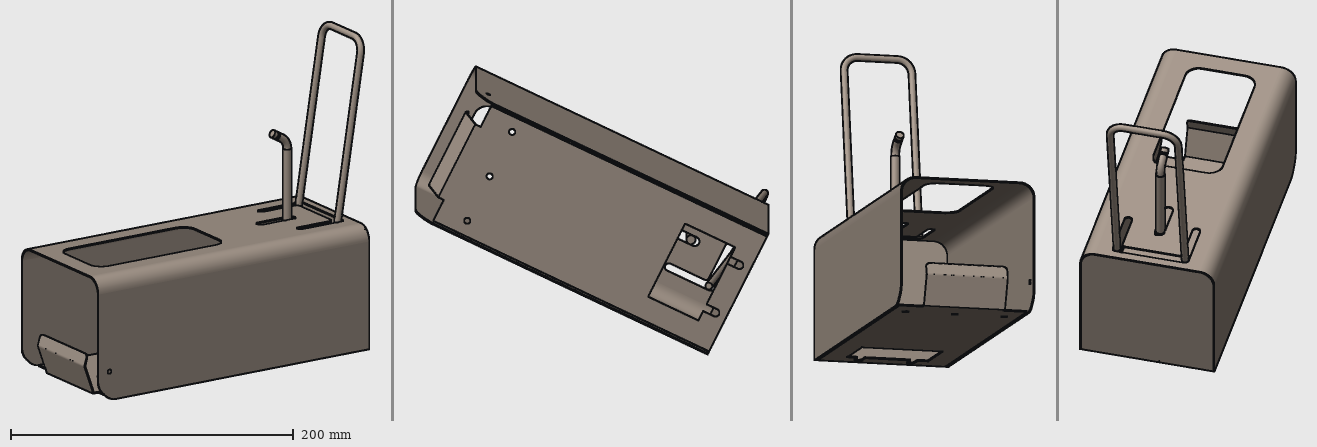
import cadquery as cq
import math

pick_margin = 0.2

width = 98.3
length = 230.0
height = 90.8
sheet = 1.0
bend_radius = 11.0

front = 0.0
back = front + length
inner_width = width - 2 * sheet
underside = height - sheet

front_chamfer = 10.0
front_chamfer_radius = 12.1

window_width = 50.5
window_length = 109.7
window_radius = 9.7
window_front = front + 15.0

leg_spacing = 49.8
leg_slot_width = 5.5
leg_slot_back = back - 6.5
leg_slot_length = 38.5
cross_slot_width = 6.8
cross_corner_radius = 2.5

lever_slot_width = 6.8
lever_slot_back = back - 30.8
lever_slot_length = 32.0

dimple_diameter = 3.2
dimple_depth = 0.5
dimple_y = front + 9.7
dimple_z = 21.0

lip_width = 59.5
lip_foot = front + 8.5
lip_bend_height = 21.5
lip_height = 30.0
lip_lean = 19.5
lip_return = 16.0
lip_bend_radius = 3.0
lip_corner_radius = 3.0

floor_front = front + 12.9
floor_side_gap = 1.5

opening_front = back - 56.3
opening_back = back - 16.7
relief_end = back - 5.5
relief_width = 5.5
tongue_width = 33.0

floor_hole_diameter = 4.4
floor_hole_spacing = 36.2
floor_hole_y = front + 34.5

rod_diameter = 5.0
handle_bend_radius = 10.5
handle_top = 224.0
handle_overhang = 12.6
handle_foot_y = back - 11.0

lever_y = back - 37.1
stem_diameter = 6.5
stem_top = 142.5
neck_diameter = 5.8
neck_bend_radius = 10.0
neck_bend_angle = 60.0
nozzle_length = 9.0
groove_start = 4.0
groove_length = 1.5
groove_depth = 0.5


def box(x_size, y_min, y_max, z_min, z_max):
    """Block centred on X = 0 between the given Y and Z limits."""
    size = (x_size, y_max - y_min, z_max - z_min)
    return cq.Workplane("XY").box(*size, centered=(True, False, False)).translate((0, y_min, z_min))


def slot_cutter(x, y_back, slot_length, slot_width):
    """Round-ended cutter along Y that goes through the top sheet."""
    return (
        cq.Workplane("XY", origin=(x, y_back - slot_length / 2, underside - sheet))
        .slot2D(slot_length, slot_width, 90)
        .extrude(3 * sheet)
    )


def top_bends(block, radius):
    """Rounds the two long top edges of a block."""
    return block.edges("|Y and >Z").fillet(radius)


def make_cover():
    """Sheet bent over the top and both sides, open below and at both ends."""
    outer = top_bends(box(width, front, back, 0, height), bend_radius)
    inner = top_bends(box(inner_width, front, back, 0, underside), bend_radius - sheet)
    cover = outer.cut(inner)

    side_profile = (
        box(width, front, back, 0, height)
        .edges("|X and <Y and <Z")
        .chamfer(front_chamfer)
    )
    chamfer_ends = cq.selectors.BoxSelector(
        (-width, front - pick_margin, -pick_margin),
        (width, front + front_chamfer + pick_margin, front_chamfer + pick_margin),
    )
    side_profile = side_profile.edges(chamfer_ends).edges("|X").fillet(front_chamfer_radius)
    cover = cover.intersect(side_profile)

    window = (
        box(window_width, window_front, window_front + window_length, underside - sheet, height + sheet)
        .edges("|Z")
        .fillet(window_radius)
    )
    lever_slot = slot_cutter(0, lever_slot_back, lever_slot_length, lever_slot_width)
    return cover.cut(window).cut(handle_slot()).cut(lever_slot).cut(dimple())


def dimple():
    """Cutter that sinks into the inner face of the +X side wall without going through it."""
    return (
        cq.Workplane("YZ", origin=(inner_width / 2, dimple_y, dimple_z))
        .circle(dimple_diameter / 2)
        .extrude(dimple_depth)
    )


def handle_slot():
    """U-shaped cutter with rounded inner corners where the slots meet."""
    cross_front = leg_slot_back - cross_slot_width
    cutter = box(leg_spacing, cross_front, leg_slot_back, underside - sheet, height + sheet)
    for side in (-1, 1):
        cutter = cutter.union(
            slot_cutter(side * leg_spacing / 2, leg_slot_back, leg_slot_length, leg_slot_width)
        )
    corner_x = (leg_spacing - leg_slot_width) / 2
    nearby = cq.selectors.BoxSelector(
        (-corner_x - pick_margin, cross_front - pick_margin, 0),
        (corner_x + pick_margin, cross_front + pick_margin, 2 * height),
    )
    return cutter.edges("|Z").edges(nearby).fillet(cross_corner_radius)


def make_lip():
    """Front lip: leans forward up to a bend, then leans back."""
    lean = math.radians(lip_lean)
    tip_back = math.radians(lip_return)
    bend_y = lip_foot - lip_bend_height * math.tan(lean)
    top_y = bend_y + (lip_height - lip_bend_height) * math.tan(tip_back)
    inner_y = sheet / math.cos(lean)
    lip = (
        cq.Workplane("YZ", origin=(-lip_width / 2, 0, 0))
        .polyline([
            (floor_front, 0),
            (lip_foot, 0),
            (bend_y, lip_bend_height),
            (top_y, lip_height),
            (top_y + sheet * math.cos(tip_back), lip_height - sheet * math.sin(tip_back)),
            (bend_y + inner_y, lip_bend_height),
            (lip_foot + inner_y - sheet * math.tan(lean), sheet),
            (floor_front, sheet),
        ])
        .close()
        .extrude(lip_width)
    )
    lip = lip.edges("|X and <Y").fillet(lip_bend_radius)
    corner_reach = cq.selectors.BoxSelector(
        (-width, top_y - sheet, lip_height - sheet), (width, top_y + sheet, lip_height + sheet)
    )
    return lip.edges(corner_reach).edges("not |X").fillet(lip_corner_radius)


def make_base():
    """Floor with the back wall and the front lip bent up from it."""
    floor = box(inner_width - 2 * floor_side_gap, floor_front, back, 0, sheet)
    wall = top_bends(box(inner_width, back - sheet, back, 0, underside), bend_radius - sheet)
    base = floor.union(wall).union(make_lip())

    base = base.cut(box(lip_width, opening_front, opening_back, -sheet, 2 * sheet))
    relief_length = 2 * (relief_end - opening_back)
    for side in (-1, 1):
        x = side * (tongue_width + relief_width) / 2
        relief = (
            cq.Workplane("XY", origin=(x, opening_back, -sheet))
            .slot2D(relief_length, relief_width, 90)
            .extrude(3 * sheet)
        )
        base = base.cut(relief)

    holes = (
        cq.Workplane("XY", origin=(0, floor_hole_y, -sheet))
        .pushPoints([(i * floor_hole_spacing, 0) for i in (-1, 0, 1)])
        .circle(floor_hole_diameter / 2)
        .extrude(3 * sheet)
    )
    return base.cut(holes)


def make_handle():
    """Bent rod in a plane that leans back about the feet of its legs."""
    rise = handle_top - rod_diameter / 2 - underside
    run = back + handle_overhang - rod_diameter / 2 - handle_foot_y
    leg = math.hypot(rise, run)
    half = leg_spacing / 2
    r = handle_bend_radius
    diagonal = r * (1 - math.sqrt(0.5))
    plane = cq.Plane(origin=(0, handle_foot_y, underside), xDir=(1, 0, 0), normal=(0, -rise, run))
    path = (
        cq.Workplane(plane)
        .moveTo(-half, 0)
        .lineTo(-half, leg - r)
        .threePointArc((-half + diagonal, leg - diagonal), (-half + r, leg))
        .lineTo(half - r, leg)
        .threePointArc((half - diagonal, leg - diagonal), (half, leg - r))
        .lineTo(half, 0)
    )
    foot = cq.Plane(origin=(-half, handle_foot_y, underside), xDir=(1, 0, 0), normal=(0, run, rise))
    return cq.Workplane(foot).circle(rod_diameter / 2).sweep(path)


def make_lever():
    """Upright stem with a thinner neck that bends forward into a grooved nozzle."""
    stem = (
        cq.Workplane("XY", origin=(0, lever_y, underside))
        .circle(stem_diameter / 2)
        .extrude(stem_top - underside)
    )
    neck = (
        cq.Workplane("XY", origin=(0, lever_y, stem_top))
        .circle(neck_diameter / 2)
        .revolve(neck_bend_angle, (-2.5, -neck_bend_radius), (2.5, -neck_bend_radius))
    )
    angle = math.radians(neck_bend_angle)
    nozzle_start = (
        0,
        lever_y - neck_bend_radius * (1 - math.cos(angle)),
        stem_top + neck_bend_radius * math.sin(angle),
    )
    nozzle_plane = cq.Plane(
        origin=nozzle_start, xDir=(1, 0, 0), normal=(0, -math.sin(angle), math.cos(angle))
    )
    nozzle = cq.Workplane(nozzle_plane).circle(neck_diameter / 2).extrude(nozzle_length)
    groove = (
        cq.Workplane(nozzle_plane)
        .workplane(offset=groove_start)
        .circle(neck_diameter / 2)
        .circle(neck_diameter / 2 - groove_depth)
        .extrude(groove_length)
    )
    return stem.union(neck).union(nozzle.cut(groove))


cover = make_cover()
base = make_base()
handle = make_handle()
lever = make_lever()

result = cq.Compound.makeCompound([cover.val(), base.val(), handle.val(), lever.val()])